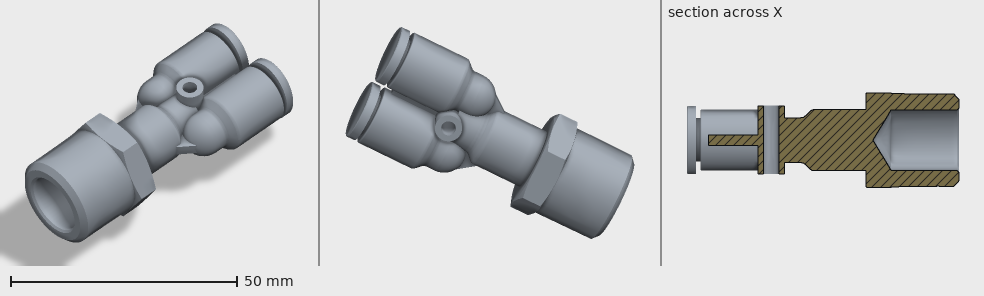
import cadquery as cq
import math


thread_root_radius = 10.4
thread_end_radius = 10.3
thread_chamfer_length = 1.2
thread_face_radius = 8.95

bore_radius = 6.7
bore_mouth_radius = 7.15
bore_mouth_depth = bore_mouth_radius - bore_radius
bore_depth = 15.0
bore_tip_angle = 118.0

hex_start = 15.0
hex_end = 20.6
hex_across_flats = 21.0
hex_chamfer_radius = 10.35
hex_chamfer_angle = 20.0

stem_radius = 6.8
stem_end = 32.6
neck_radius = 5.0
neck_start = stem_end + stem_radius - neck_radius
neck_end = 40.6
stem_edge_radius = 0.9
neck_root_radius = 1.8

overall_width = 27.8
sleeve_offset = 7.15
sleeve_radius = overall_width / 2 - sleeve_offset
sleeve_end = 57.1
sleeve_start = 43.5
sleeve_edge_radius = 0.9
sleeve_rim_radius = 0.25
shank_radius = 4.9
shank_end = 41.5
shank_root_radius = 0.9
dome_center = 38.95

collar_width = 13.15
collar_height = 15.1
collar_start = 58.05
collar_end = 60.1
collar_edge = 0.2
collar_neck_radius = 4.8

web_thickness = 2.4
web_top = 55.5
web_foot = 31.15
web_angle = 53.0

eyelet_center = 41.5
eyelet_radius = 3.0
eyelet_height = 15.15
eyelet_hole_radius = 1.6


def revolve_about_y(profile):
    """Revolve a closed XY profile about the Y axis."""
    return profile.close().revolve(360, (0, 0, 0), (0, 1, 0))


def cylinder_along_y(radius, start, end):
    """Cylinder on the Y axis between two Y positions."""
    return cq.Workplane("XZ", origin=(0, start, 0)).circle(radius).extrude(start - end)


def ring_edges(position, radius):
    """Selector box around the circular edge of a given radius at one Y position."""
    margin = 0.05
    reach = radius + margin
    return cq.selectors.BoxSelector(
        (-reach, position - margin, -reach),
        (reach, position + margin, reach),
        True,
    )


def make_thread():
    profile = (
        cq.Workplane("XY")
        .lineTo(thread_face_radius, 0)
        .lineTo(thread_end_radius, thread_chamfer_length)
        .lineTo(thread_root_radius, hex_start)
        .lineTo(0, hex_start)
    )
    return revolve_about_y(profile)


def make_hexagon():
    across_corners = hex_across_flats / math.cos(math.pi / 6)
    corner_radius = across_corners / 2
    corner_drop = (corner_radius - hex_chamfer_radius) * math.tan(math.radians(hex_chamfer_angle))
    prism = (
        cq.Workplane("XZ", origin=(0, hex_start, 0))
        .polygon(6, across_corners)
        .extrude(hex_start - hex_end)
    )
    envelope = revolve_about_y(
        cq.Workplane("XY")
        .moveTo(0, hex_start)
        .lineTo(hex_chamfer_radius, hex_start)
        .lineTo(corner_radius, hex_start + corner_drop)
        .lineTo(corner_radius, hex_end - corner_drop)
        .lineTo(hex_chamfer_radius, hex_end)
        .lineTo(0, hex_end)
    )
    return prism.intersect(envelope)


def make_stem():
    stem = revolve_about_y(
        cq.Workplane("XY")
        .moveTo(0, hex_start)
        .lineTo(stem_radius, hex_start)
        .lineTo(stem_radius, stem_end)
        .lineTo(neck_radius, neck_start)
        .lineTo(neck_radius, neck_end)
        .lineTo(0, neck_end)
    )
    stem = stem.edges(ring_edges(stem_end, stem_radius)).fillet(stem_edge_radius)
    return stem.edges(ring_edges(neck_start, neck_radius)).fillet(neck_root_radius)


def make_branch():
    """One sleeve with its domed shank and release collar, built on the Y axis."""
    sleeve = revolve_about_y(
        cq.Workplane("XY")
        .moveTo(0, dome_center - shank_radius)
        .radiusArc((shank_radius, dome_center), -shank_radius)
        .lineTo(shank_radius, shank_end)
        .lineTo(sleeve_radius, sleeve_start)
        .lineTo(sleeve_radius, sleeve_end)
        .lineTo(0, sleeve_end)
    )
    sleeve = sleeve.edges(ring_edges(sleeve_start, sleeve_radius)).fillet(sleeve_edge_radius)
    sleeve = sleeve.edges(ring_edges(shank_end, shank_radius)).fillet(shank_root_radius)
    sleeve = sleeve.edges(ring_edges(sleeve_end, sleeve_radius)).fillet(sleeve_rim_radius)
    collar_neck = cylinder_along_y(collar_neck_radius, sleeve_end, collar_start)
    collar = (
        cq.Workplane("XZ", origin=(0, collar_start, 0))
        .ellipse(collar_width / 2, collar_height / 2)
        .extrude(collar_start - collar_end)
        .faces(">Y")
        .edges()
        .chamfer(collar_edge)
    )
    return sleeve.union(collar_neck).union(collar)


def make_web():
    """Flat plate whose slanted sides run from the stem into the domes."""
    shoulder_y = dome_center - shank_radius / 2
    shoulder_x = stem_radius + (shoulder_y - web_foot) / math.tan(math.radians(web_angle))
    return (
        cq.Workplane("XY")
        .polyline([
            (-stem_radius, web_foot),
            (stem_radius, web_foot),
            (shoulder_x, shoulder_y),
            (sleeve_offset, dome_center),
            (sleeve_offset, web_top),
            (-sleeve_offset, web_top),
            (-sleeve_offset, dome_center),
            (-shoulder_x, shoulder_y),
        ])
        .close()
        .extrude(web_thickness / 2, both=True)
    )


def make_bore():
    tip_length = bore_radius / math.tan(math.radians(bore_tip_angle / 2))
    return revolve_about_y(
        cq.Workplane("XY")
        .lineTo(bore_mouth_radius, 0)
        .lineTo(bore_radius, bore_mouth_depth)
        .lineTo(bore_radius, bore_depth)
        .lineTo(0, bore_depth + tip_length)
    )


eyelet_plane = cq.Workplane("XY", origin=(0, eyelet_center, 0))
eyelet = eyelet_plane.circle(eyelet_radius).extrude(eyelet_height / 2, both=True)
eyelet_hole = eyelet_plane.circle(eyelet_hole_radius).extrude(eyelet_height / 2, both=True)

result = make_thread().union(make_hexagon()).union(make_stem())
for side in (-1, 1):
    result = result.union(make_branch().translate((side * sleeve_offset, 0, 0)))
result = result.union(make_web()).union(eyelet)
result = result.cut(make_bore()).cut(eyelet_hole)